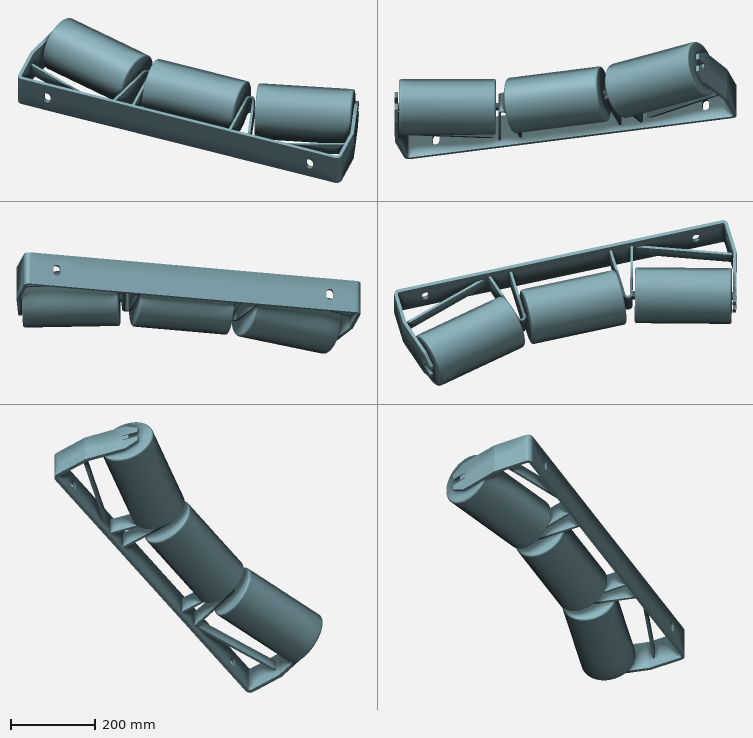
import cadquery as cq
import math

tilt = 15.0
tilt_sin = math.sin(math.radians(tilt))
tilt_cos = math.cos(math.radians(tilt))
tilt_tan = math.tan(math.radians(tilt))

half_span = 410.0
frame_width = 81.0
frame_thickness = 8.0
corner_radius = 13.0
wall_height = 96.0
arm_length = 132.0
arm_tip_width = 46.0
arm_taper_length = 31.0
mount_slot_x = 333.0
mount_slot_width = 17.0
mount_slot_length = 28.0

roller_radius = 66.5
roller_length = 230.5
roller_rounding = 5.0
center_roller_y = 126.0
wing_roller_x = 262.0
wing_roller_y = 160.0
axle_radius = 10.0
axle_flats = 13.0
axle_slot_width = 17.0

strip_thickness = 6.0
saddle_width = 50.0
saddle_inner_x = 120.0
saddle_foot_x = 178.0
saddle_bend_radius = 11.5
brace_angle = 20.0
brace_top_y = 86.0
brace_width = 30.0


def mirrored(body):
    """The matching body on the other side of the center plane."""
    return body.mirror("YZ")


def level(z):
    """Sketch plane at height z."""
    return cq.Workplane("XY").workplane(offset=z)


def wing_plane(along):
    """Plane square to the +X wing axle; local X runs along Z, local Y up across the axle.

    It lies the given distance outward from the roller center and faces back toward the roller.
    """
    x = wing_roller_x + along * tilt_cos
    y = wing_roller_y + along * tilt_sin
    return cq.Plane(origin=(x, y, 0), xDir=(0, 0, 1), normal=(-tilt_cos, -tilt_sin, 0))


arm_face = (half_span - wing_roller_x) * tilt_cos + (wall_height - wing_roller_y) * tilt_sin
saddle_face = (wing_roller_x - saddle_foot_x) * tilt_cos + (wing_roller_y - frame_thickness) * tilt_sin
wing_saddle_end = saddle_face + strip_thickness
center_axle_half = saddle_inner_x + strip_thickness


def frame_half():
    wall_bend_inset = frame_thickness * math.tan(math.radians(tilt / 2))
    tip_x = half_span - arm_length * tilt_sin
    tip_y = wall_height + arm_length * tilt_cos
    inner_x = half_span - frame_thickness
    outline = (
        level(-frame_width / 2)
        .moveTo(0, 0)
        .lineTo(half_span - corner_radius, 0)
        .tangentArcPoint((half_span, corner_radius), relative=False)
        .lineTo(half_span, wall_height)
        .lineTo(tip_x, tip_y)
        .lineTo(tip_x - frame_thickness * tilt_cos, tip_y - frame_thickness * tilt_sin)
        .lineTo(inner_x, wall_height - wall_bend_inset)
        .lineTo(inner_x, corner_radius)
        .tangentArcPoint((half_span - corner_radius, frame_thickness), relative=False)
        .lineTo(0, frame_thickness)
        .close()
    )
    half = outline.extrude(frame_width)
    half = half.cut(arm_tip_waste()).cut(axle_slot())
    mount_slot = (
        cq.Workplane("XZ")
        .center(mount_slot_x, 0)
        .slot2D(mount_slot_length, mount_slot_width, 90)
        .extrude(-frame_thickness)
    )
    return half.cut(mount_slot)


def arm_tip_waste():
    """The two corners cut off the arm tip."""
    arm_start = (wall_height - wing_roller_y) * tilt_cos - (half_span - wing_roller_x) * tilt_sin
    tip = arm_start + arm_length
    corner = (
        cq.Workplane(wing_plane(arm_face))
        .moveTo(arm_tip_width / 2, tip)
        .lineTo(frame_width / 2, tip)
        .lineTo(frame_width / 2, tip - arm_taper_length)
        .close()
        .extrude(frame_thickness)
    )
    return corner.union(corner.mirror("XY"))


def axle_slot():
    """Slot open at the arm tip, with a round floor that the axle rests on."""
    half_width = axle_slot_width / 2
    floor_side = -math.sqrt(axle_radius**2 - half_width**2)
    return (
        cq.Workplane(wing_plane(arm_face))
        .moveTo(-half_width, arm_length)
        .lineTo(-half_width, floor_side)
        .threePointArc((0, -axle_radius), (half_width, floor_side))
        .lineTo(half_width, arm_length)
        .close()
        .extrude(frame_thickness)
    )


def make_frame():
    half = frame_half()
    return half.union(mirrored(half))


def make_axle(inner_end, outer_end):
    axle = cq.Workplane("YZ").workplane(offset=-inner_end).circle(axle_radius).extrude(inner_end + outer_end)
    flats = cq.Workplane("XY").box(2 * (inner_end + outer_end), 2 * axle_radius, axle_flats)
    return axle.intersect(flats)


def make_roller(inner_end, outer_end):
    drum = (
        cq.Workplane("YZ")
        .workplane(offset=-roller_length / 2)
        .circle(roller_radius)
        .extrude(roller_length)
        .edges("%CIRCLE")
        .fillet(roller_rounding)
    )
    return drum.union(make_axle(inner_end, outer_end))


def place_on_wing(body):
    return body.rotate((0, 0, 0), (0, 0, 1), tilt).translate((wing_roller_x, wing_roller_y, 0))


def saddle_profile(offset):
    """Wedge with a rounded top, drawn in from the outer faces of the strip by the offset."""
    upright_x = saddle_inner_x + offset
    foot_x = saddle_foot_x - offset / tilt_cos
    radius = saddle_bend_radius - offset
    apex_y = frame_thickness + (foot_x - upright_x) / tilt_tan
    bend_y = apex_y - radius / math.tan(math.radians(tilt / 2))
    bend_x = upright_x + radius
    lean_end = (bend_x + radius * tilt_cos, bend_y + radius * tilt_sin)
    return (
        level(-saddle_width / 2)
        .moveTo(upright_x, frame_thickness)
        .lineTo(upright_x, bend_y)
        .threePointArc((bend_x, bend_y + radius), lean_end)
        .lineTo(foot_x, frame_thickness)
        .close()
        .extrude(saddle_width)
    )


def make_saddle():
    strip = saddle_profile(0).cut(saddle_profile(strip_thickness))
    center_axle = make_axle(center_axle_half, center_axle_half).translate((0, center_roller_y, 0))
    wing_axle = place_on_wing(make_axle(wing_saddle_end, arm_face))
    return strip.cut(center_axle).cut(wing_axle)


def make_brace():
    slope = math.tan(math.radians(brace_angle))
    wall_x = half_span - frame_thickness
    lower_y = brace_top_y - strip_thickness / math.cos(math.radians(brace_angle))
    return (
        level(-brace_width / 2)
        .moveTo(wall_x, brace_top_y)
        .lineTo(wall_x - (brace_top_y - frame_thickness) / slope, frame_thickness)
        .lineTo(wall_x - (lower_y - frame_thickness) / slope, frame_thickness)
        .lineTo(wall_x, lower_y)
        .close()
        .extrude(brace_width)
    )


frame = make_frame()
center_roller = make_roller(center_axle_half, center_axle_half).translate((0, center_roller_y, 0))
side_bodies = []
for side_body in (place_on_wing(make_roller(wing_saddle_end, arm_face)), make_saddle(), make_brace()):
    side_bodies.append(side_body.val())
    side_bodies.append(mirrored(side_body).val())

result = cq.Compound.makeCompound([frame.val(), center_roller.val(), *side_bodies])